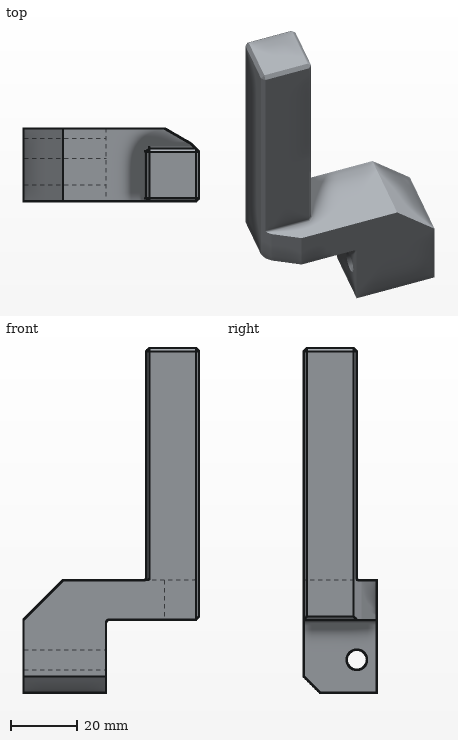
import cadquery as cq
import math

length = 53.0
depth = 22.0
height = 104.0

foot_length = 25.0
arm_bottom = 22.0
arm_top = 34.0
shoulder_chamfer = 12.0
inner_radius = 1.0
base_chamfer = 5.0

post_width = 16.0
edge_chamfer = 1.0
root_radius = 0.6
rear_angle = 30.0

hole_diameter = 6.0
hole_y = 16.0
hole_z = 10.0

post_left = length - post_width
rear_slope_start = length - (depth - post_width) / math.tan(math.radians(rear_angle))


def make_body():
    """Foot and arm, with the sloped shoulder and the angled rear corner."""
    profile = [
        (0, 0),
        (foot_length, 0),
        (foot_length, arm_bottom),
        (length, arm_bottom),
        (length, arm_top),
        (shoulder_chamfer, arm_top),
        (0, arm_top - shoulder_chamfer),
    ]
    body = cq.Workplane("XZ").polyline(profile).close().extrude(-depth)
    inner_corner = cq.selectors.NearestToPointSelector((foot_length, depth / 2, arm_bottom))
    body = body.edges(inner_corner).fillet(inner_radius)
    outline = [
        (0, 0),
        (length, 0),
        (length, post_width),
        (rear_slope_start, depth),
        (0, depth),
    ]
    return body.intersect(cq.Workplane("XY").polyline(outline).close().extrude(arm_top))


def make_post():
    """Upright square bar with chamfered vertical edges and top rim."""
    return (
        cq.Workplane("XY", origin=(post_left, 0, arm_top))
        .rect(post_width, post_width, centered=False)
        .extrude(height - arm_top)
        .edges("|Z or >Z")
        .chamfer(edge_chamfer)
    )


def make_end_limit():
    """Envelope that chamfers the right end of the arm in line with the post."""
    rear_run = depth - post_width + edge_chamfer
    outline = [
        (0, 0),
        (length - edge_chamfer, 0),
        (length, edge_chamfer),
        (length, post_width - edge_chamfer),
        (length - rear_run, depth),
        (0, depth),
    ]
    limit = cq.Workplane("XY").polyline(outline).close().extrude(height)
    lower_corner = (
        cq.Workplane("XZ")
        .polyline([
            (length - edge_chamfer, arm_bottom),
            (length, arm_bottom),
            (length, arm_bottom + edge_chamfer),
        ])
        .close()
        .extrude(-depth)
    )
    return limit.cut(lower_corner)


def make_post_root():
    """Concave fillet around the foot of the post, before trimming to the arm."""
    plate_margin = 2 * root_radius
    plate_size = post_width + 2 * plate_margin
    plate = (
        cq.Workplane("XY", origin=(post_left - plate_margin, -plate_margin, arm_top - edge_chamfer))
        .rect(plate_size, plate_size, centered=False)
        .extrude(edge_chamfer)
    )
    root_edges = cq.selectors.BoxSelector(
        (post_left - root_radius, -root_radius, arm_top - root_radius / 2),
        (length + root_radius, post_width + root_radius, arm_top + root_radius / 2),
    )
    filleted = plate.union(make_post()).edges(root_edges).fillet(root_radius)
    above_arm = cq.Workplane("XY", origin=(0, 0, arm_top)).rect(length, depth, centered=False).extrude(height)
    return filleted.intersect(above_arm)


def make_base_cut():
    """Chamfer along the lower front edge of the foot."""
    return (
        cq.Workplane("YZ")
        .polyline([(0, 0), (base_chamfer, 0), (0, base_chamfer)])
        .close()
        .extrude(foot_length)
    )


def make_hole():
    """Through hole across the foot."""
    return (
        cq.Workplane("YZ")
        .center(hole_y, hole_z)
        .circle(hole_diameter / 2)
        .extrude(foot_length)
    )


result = make_body().union(make_post_root()).intersect(make_end_limit())
result = result.cut(make_base_cut()).cut(make_hole())